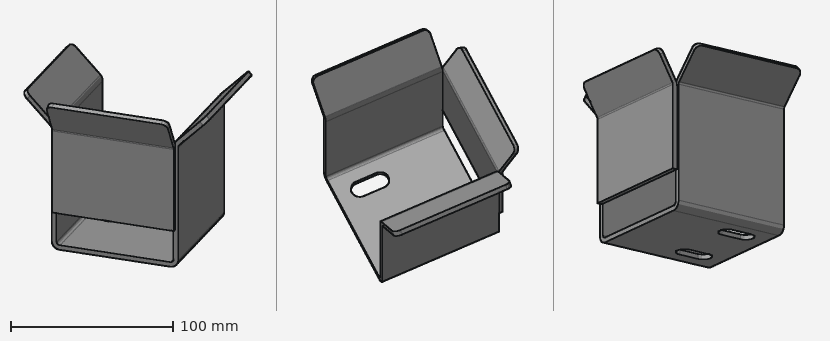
import cadquery as cq
import math

sheet = 3.2
inner_radius = 2.1
outer_radius = inner_radius + sheet

cradle_width = 83.5
cradle_depth = 80.0
wall_bend_height = 81.15

side_lip_angle = 45.0
side_lip_length = 26.53
front_lip_angle = 30.0
front_lip_length = 23.08
lip_corner_radius = 4.0

plate_width = 80.0
plate_bottom = 25.9
plate_bend_height = 81.02

slot_width = 11.0
slot_length = 25.0
slot_spacing = 45.0
slot_from_back = 22.5

side_turns = (0, 180)
front_turn = -90


def flared_strip(bottom, bend_height, angle, lip_length, width):
    """Vertical strip with its inner face on X = 0 and its top lip bent toward +X.

    The strip is centred on Y and the free corners of the lip are rounded.
    """
    bend = math.radians(angle)
    axis_x = outer_radius

    def on_bend(radius, turn):
        return (axis_x - radius * math.cos(turn), bend_height + radius * math.sin(turn))

    def lip_tip(radius):
        x, z = on_bend(radius, bend)
        return (x + lip_length * math.sin(bend), z + lip_length * math.cos(bend))

    strip = (
        cq.Workplane("XZ")
        .moveTo(0, bottom)
        .lineTo(0, bend_height)
        .threePointArc(on_bend(outer_radius, bend / 2), on_bend(outer_radius, bend))
        .lineTo(*lip_tip(outer_radius))
        .lineTo(*lip_tip(inner_radius))
        .lineTo(*on_bend(inner_radius, bend))
        .threePointArc(on_bend(inner_radius, bend / 2), (sheet, bend_height))
        .lineTo(sheet, bottom)
        .close()
        .extrude(width / 2, both=True)
    )
    across_lip = cq.Vector(math.cos(bend), 0, -math.sin(bend))
    return strip.edges(cq.selectors.ParallelDirSelector(across_lip)).fillet(lip_corner_radius)


def channel():
    """Floor with the two rounded bends that lead up into the side walls."""
    inner_width = cradle_width - 2 * sheet
    outside = (
        cq.Workplane("XY")
        .box(cradle_width, cradle_depth, wall_bend_height, centered=(True, True, False))
        .edges("|Y and <Z")
        .fillet(outer_radius)
    )
    inside = (
        cq.Workplane("XY")
        .workplane(offset=sheet)
        .box(inner_width, cradle_depth, wall_bend_height, centered=(True, True, False))
        .edges("|Y and <Z")
        .fillet(inner_radius)
    )
    return outside.cut(inside)


def side_wall(turn):
    """Flared side wall, turned about Z to face its side of the cradle."""
    wall = flared_strip(outer_radius, wall_bend_height, side_lip_angle, side_lip_length, cradle_depth)
    return wall.translate((cradle_width / 2 - sheet, 0, 0)).rotate((0, 0, 0), (0, 0, 1), turn)


def front_plate():
    """Retaining plate that laps the front edges of both side walls."""
    plate = flared_strip(plate_bottom, plate_bend_height, front_lip_angle, front_lip_length, plate_width)
    return plate.translate((cradle_depth / 2, 0, 0)).rotate((0, 0, 0), (0, 0, 1), front_turn)


def floor_slots():
    """Pair of slots running front to back, cut through the floor."""
    slot_y = cradle_depth / 2 - slot_from_back
    return (
        cq.Workplane("XY")
        .pushPoints([(side * slot_spacing / 2, slot_y) for side in (-1, 1)])
        .slot2D(slot_length, slot_width, angle=90)
        .extrude(sheet)
    )


cradle = channel()
for turn in side_turns:
    cradle = cradle.union(side_wall(turn))

result = cradle.union(front_plate()).cut(floor_slots())